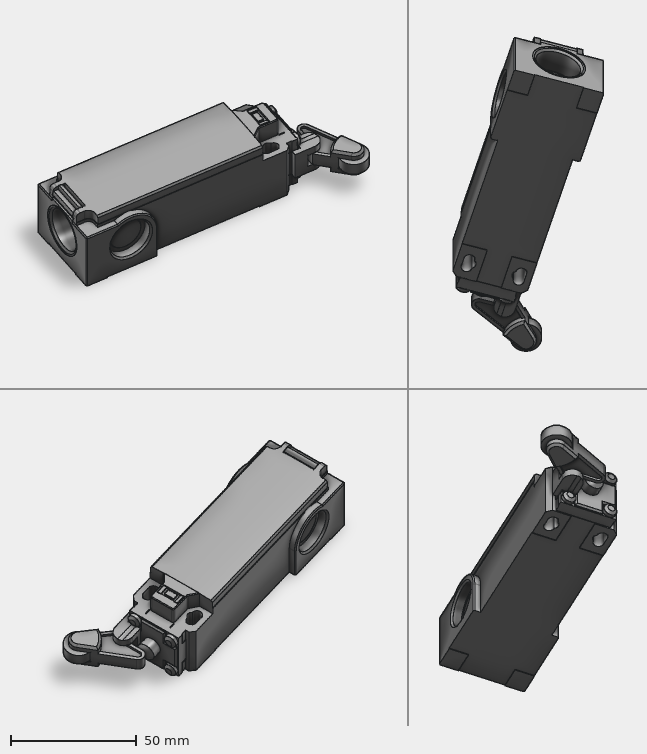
import cadquery as cq
import math


LENGTH = 128.5
HEIGHT = 32.8

BODY_W = 31.1
BODY_END = 97.6
BODY_TOP = 27.8
EAR_CHAMFER = 2.0
EAR_START = 84.4
EAR_TOP = 24.4
EAR_HOLE_X = 10.8
EAR_HOLE_Y = 90.5
EAR_SLOT_W = 4.4
EAR_SLOT_LENGTH = 8.0
EAR_BULGE_D = 4.1
EAR_BULGE_SHIFT = 1.2

FOOT_H = 0.4
LOWER_FOOT_LENGTH = 9.8
LOWER_FOOT_GAP = 20.3
UPPER_FOOT_START = 82.6
UPPER_FOOT_GAP = 10.3

BASE_W = 37.3
BASE_TOP = 26.3
BASE_CHAMFER = 0.5
ENTRY_Y = 20.8
ENTRY_Z = 15.4
ENTRY_BOSS_R = 12.5
ENTRY_D = 18.5
SIDE_ENTRY_DEPTH = 4.5
SIDE_MOUTH_D = 20.0
FRONT_ENTRY_DEPTH = 9.6
FRONT_MOUTH_D = 20.3
FRONT_SPOTFACE_D = 21.8
FRONT_SPOTFACE_DEPTH = 0.3
MOUTH_DEPTH = 0.9
SIDE_KNOCKOUT_D = 14.8
SIDE_KNOCKOUT_H = 0.3
FRONT_KNOCKOUT_D = 15.9
FRONT_KNOCKOUT_H = 0.8
TONGUE_W = 15.2
TONGUE_LENGTH = 6.2
TONGUE_TOP = 27.4

CLIP_FRONT = 0.9
CLIP_RIDGE_FRONT = 3.0
CLIP_CREST = 3.2
CLIP_BACK = 5.3
CLIP_RIDGE_EDGE = 31.6
CLIP_BEND_DROP = 0.3
CLIP_LIP_TOP = 30.6
CLIP_LIP_BOTTOM = 28.0
CLIP_LIP_BULGE = 0.8

LID_W = 30.6
LID_START = 0.5
LID_EDGE_TOP = 32.0
LID_CROWN_TOP = 32.5
LID_EDGE_CHAMFER = 0.8
LID_END_FILLET = 1.8
LID_STEP = (BODY_W - LID_W) / 2
LID_NOTCH_X = 10.3
LID_NOTCH_Y = 7.1
LID_NOTCH_R = 2.8
CAP_W = 11.8
CAP_START = 88.3
CAP_RAMP_END = 89.4
CAP_FLARE_W = 18.0
CAP_CORNER_R = 1.0
CAP_CHAMFER = 0.4
LABEL_W = 9.9
LABEL_START = 89.5
LABEL_END = 93.9
LABEL_DEPTH = 1.0
LABEL_PAD_W = 1.5
LABEL_PAD_H = 0.6
LABEL_BAR_W = 4.6
LABEL_BAR_LENGTH = 2.6

HEAD_W = 24.2
HEAD_H = 23.8
AXIS_Z = EAR_TOP - HEAD_H / 2
HEAD_END = 102.7
HEAD_TAB_W = 12.1
HEAD_TAB_END = 100.1
HEAD_RELIEF = 0.3
PLATE_INSET = 0.3
PLATE_CHAMFER = 0.8
PLATE_END = 104.0
SCREW_D = 5.7
SCREW_SPACING = 17.9
SCREW_X = SCREW_SPACING / 2
SCREW_DZ = 8.9
SCREW_RIM_END = 104.2
SCREW_TOP_END = 105.1
SCREW_TOP_D = 3.0
PLUNGER_D = 8.0
PLUNGER_RIM_END = 108.2
PLUNGER_END = 109.7

BRACKET_X0 = 5.8
BRACKET_X1 = 14.4
BRACKET_START = 100.0
BRACKET_PIVOT_Y = 109.3
BRACKET_H = 12.7
BRACKET_SLOT_START = 106.0
SCREW_CLEARANCE_D = 5.4

ROLLER_D = 12.5
ROLLER_W = 5.3
ROLLER_RIGHT = 29.0
ROLLER_X = ROLLER_RIGHT - ROLLER_D / 2
ROLLER_Y = LENGTH - ROLLER_D / 2
ROLLER_PIN_D = 3.0
ROLLER_CLEARANCE = 0.5
LEVER_HUB_R = 4.1
LEVER_TIP_R = 2.8
LEVER_TIP_X = 0.4
LEVER_TIP_GAP = 0.4
LEVER_TIP_Y = PLUNGER_END + LEVER_TIP_GAP + LEVER_TIP_R
LEVER_HEEL_Y = 108.0
LEVER_ARM_H = 5.9
LEVER_FORK_H = 12.2
LEVER_FORK_X = 25.6
LEVER_FORK_Y = 124.4
LEVER_FORK_R = 12.5
LEVER_FORK_CHAMFER = 1.0
LEVER_RIM = 1.4
LEVER_POCKET_DEPTH = 1.2


def box(x0, x1, y0, y1, z0, z1):
    return cq.Workplane("XY").box(x1 - x0, y1 - y0, z1 - z0, centered=False).translate((x0, y0, z0))


def centred_box(width, y0, y1, z0, z1):
    return box(-width / 2, width / 2, y0, y1, z0, z1)


def disc_z(x, y, radius, height):
    """Disc along Z, centred on the lever mid-plane."""
    disc = cq.Workplane("XY").center(x, y).circle(radius).extrude(height)
    return disc.translate((0, 0, AXIS_Z - height / 2))


def turned(x, z, profile):
    """Solid turned about a line along Y at (x, z); the profile lists (radius, y) points."""
    outline = cq.Workplane("XY").polyline(profile).close()
    return outline.revolve(360, (0, 0), (0, 1)).translate((x, 0, z))


def extrude_x(outline, width):
    """Extrude a YZ outline symmetrically about X = 0."""
    return outline.extrude(width / 2, both=True)



def make_body():
    body = centred_box(BODY_W, LID_START, BODY_END, 0, BODY_TOP)
    body = body.edges("|Z and >Y").chamfer(EAR_CHAMFER)
    return body.cut(centred_box(BODY_W, EAR_START, BODY_END, EAR_TOP, BODY_TOP))


def make_base():
    shoulder_y = ENTRY_Y - math.sqrt(ENTRY_BOSS_R**2 - (BASE_TOP - ENTRY_Z) ** 2)
    back_y = ENTRY_Y + ENTRY_BOSS_R
    outline = (
        cq.Workplane("YZ")
        .polyline([(back_y, ENTRY_Z), (back_y, 0), (0, 0), (0, BASE_TOP), (shoulder_y, BASE_TOP)])
        .threePointArc((ENTRY_Y, ENTRY_Z + ENTRY_BOSS_R), (back_y, ENTRY_Z))
        .close()
    )
    base = extrude_x(outline, BASE_W)
    sides = base.faces("<X or >X").edges("not <Z")
    base = sides.chamfer(BASE_CHAMFER)
    rim = base.faces("<Y").edges(">Z")
    return rim.chamfer(BASE_CHAMFER)


def make_lid():
    half_w = LID_W / 2
    section = (
        cq.Workplane("XZ")
        .moveTo(-half_w, BODY_TOP)
        .lineTo(-half_w, LID_EDGE_TOP - LID_EDGE_CHAMFER)
        .lineTo(-half_w + LID_EDGE_CHAMFER, LID_EDGE_TOP)
        .threePointArc((0, LID_CROWN_TOP), (half_w - LID_EDGE_CHAMFER, LID_EDGE_TOP))
        .lineTo(half_w, LID_EDGE_TOP - LID_EDGE_CHAMFER)
        .lineTo(half_w, BODY_TOP)
        .close()
    )
    lid = section.extrude(-(EAR_START - LID_START)).translate((0, LID_START, 0))
    return lid.faces("<Y").edges(">Z").fillet(LID_END_FILLET)


def make_cap():
    """Raised cap between the ears that flares out and ramps down to the lid."""
    outline = [
        (-CAP_FLARE_W / 2, EAR_START),
        (-CAP_W / 2, CAP_START),
        (-CAP_W / 2, BODY_END),
        (CAP_W / 2, BODY_END),
        (CAP_W / 2, CAP_START),
        (CAP_FLARE_W / 2, EAR_START),
    ]
    plan = cq.Workplane("XY").polyline(outline).close().extrude(HEIGHT)
    plan = plan.edges("|Z and (not <Y)").fillet(CAP_CORNER_R)
    profile = [
        (EAR_START, EAR_TOP),
        (EAR_START, LID_CROWN_TOP),
        (CAP_RAMP_END, HEIGHT),
        (BODY_END, HEIGHT),
        (BODY_END, EAR_TOP),
    ]
    cap = plan.intersect(extrude_x(cq.Workplane("YZ").polyline(profile).close(), CAP_FLARE_W))
    return cap.faces(">Z").edges("not <Y").chamfer(CAP_CHAMFER)


def label_pocket():
    floor = HEIGHT - LABEL_DEPTH
    pad_top = floor + LABEL_PAD_H
    pocket = centred_box(LABEL_W, LABEL_START, LABEL_END, floor, HEIGHT)
    for x0 in (-LABEL_W / 2, LABEL_W / 2 - LABEL_PAD_W):
        pocket = pocket.cut(box(x0, x0 + LABEL_PAD_W, LABEL_START, LABEL_END, floor, pad_top))
    bar_y = LABEL_START + LABEL_PAD_H
    return pocket.cut(centred_box(LABEL_BAR_W, bar_y, bar_y + LABEL_BAR_LENGTH, floor, pad_top))


def lid_corner_notches():
    """Round-cornered notches beside the latch, a little larger in the lid than in the body below it."""
    notches = cq.Workplane("XY")
    for step, floor in ((0, BASE_TOP), (LID_STEP, BODY_TOP)):
        for side in (-1, 1):
            x0, x1 = sorted((side * (LID_NOTCH_X - step), side * BASE_W / 2))
            inner_edge = "|Z and >Y and " + ("<X" if side > 0 else ">X")
            notch = box(x0, x1, 0, LID_NOTCH_Y + step, floor, HEIGHT)
            notches = notches.union(notch.edges(inner_edge).fillet(LID_NOTCH_R + step))
    return notches


def make_clip():
    """Latch bar: a ridge with a curved back, behind a flat shelf with a rounded lip."""
    lip_middle = (CLIP_FRONT - CLIP_LIP_BULGE, (CLIP_LIP_BOTTOM + CLIP_LIP_TOP) / 2)
    bend = ((CLIP_BACK + CLIP_CREST) / 2, HEIGHT - CLIP_BEND_DROP)
    outline = (
        cq.Workplane("YZ")
        .moveTo(CLIP_BACK, TONGUE_TOP)
        .lineTo(CLIP_BACK, CLIP_RIDGE_EDGE)
        .threePointArc(bend, (CLIP_CREST, HEIGHT))
        .lineTo(CLIP_RIDGE_FRONT, CLIP_RIDGE_EDGE)
        .lineTo(CLIP_RIDGE_FRONT, CLIP_LIP_TOP)
        .lineTo(CLIP_FRONT, CLIP_LIP_TOP)
        .threePointArc(lip_middle, (CLIP_FRONT, CLIP_LIP_BOTTOM))
        .lineTo(CLIP_FRONT, TONGUE_TOP)
        .close()
    )
    return extrude_x(outline, TONGUE_W)


def entry_bore(depth, mouth_d, knockout_d, knockout_h):
    """Flared blind bore along +Y from Y = 0 that leaves a raised knockout disc on its floor."""
    radius = ENTRY_D / 2
    floor = depth - knockout_h
    profile = [
        (0, 0),
        (mouth_d / 2, 0),
        (radius, MOUTH_DEPTH),
        (radius, depth),
        (knockout_d / 2, depth),
        (knockout_d / 2 - knockout_h, floor),
        (0, floor),
    ]
    return turned(0, ENTRY_Z, profile)


def cable_entries():
    entries = entry_bore(FRONT_ENTRY_DEPTH, FRONT_MOUTH_D, FRONT_KNOCKOUT_D, FRONT_KNOCKOUT_H)
    entries = entries.translate((0, FRONT_SPOTFACE_DEPTH, 0))
    spotface_r = FRONT_SPOTFACE_D / 2
    spotface = [(0, 0), (spotface_r, 0), (spotface_r, FRONT_SPOTFACE_DEPTH), (0, FRONT_SPOTFACE_DEPTH)]
    entries = entries.union(turned(0, ENTRY_Z, spotface))
    side_bore = entry_bore(SIDE_ENTRY_DEPTH, SIDE_MOUTH_D, SIDE_KNOCKOUT_D, SIDE_KNOCKOUT_H)
    side_bore = side_bore.translate((0, -BASE_W / 2, 0))
    for angle in (-90, 90):
        turned_bore = side_bore.rotate((0, 0, 0), (0, 0, 1), angle)
        entries = entries.union(turned_bore.translate((0, ENTRY_Y, 0)))
    return entries


def ear_holes():
    slots = cq.Workplane("XY")
    for side in (-1, 1):
        slot = cq.Workplane("XY").center(side * EAR_HOLE_X, EAR_HOLE_Y)
        slot = slot.slot2D(EAR_SLOT_LENGTH, EAR_SLOT_W, 90)
        bulge_x = side * (EAR_HOLE_X - EAR_BULGE_SHIFT)
        bulge = cq.Workplane("XY").center(bulge_x, EAR_HOLE_Y).circle(EAR_BULGE_D / 2)
        slots = slots.union(slot.extrude(HEIGHT)).union(bulge.extrude(HEIGHT))
    return slots


def foot_reliefs():
    relief = centred_box(BASE_W, LOWER_FOOT_LENGTH, UPPER_FOOT_START, 0, FOOT_H)
    relief = relief.union(centred_box(LOWER_FOOT_GAP, 0, LOWER_FOOT_LENGTH, 0, FOOT_H))
    return relief.union(centred_box(UPPER_FOOT_GAP, UPPER_FOOT_START, BODY_END, 0, FOOT_H))


def make_housing():
    housing = make_body().union(make_base()).union(make_lid()).union(make_cap())
    housing = housing.cut(lid_corner_notches())
    housing = housing.cut(centred_box(TONGUE_W, 0, TONGUE_LENGTH, TONGUE_TOP, HEIGHT))
    housing = housing.union(centred_box(TONGUE_W, 0, TONGUE_LENGTH, BASE_TOP - BASE_CHAMFER, TONGUE_TOP))
    housing = housing.union(make_clip())
    for cutter in (label_pocket(), cable_entries(), ear_holes(), foot_reliefs()):
        housing = housing.cut(cutter)
    return housing



def make_head():
    z0 = AXIS_Z - HEAD_H / 2
    z1 = AXIS_Z + HEAD_H / 2
    head = centred_box(HEAD_W, BODY_END, HEAD_END, z0, z1)
    tab = HEAD_TAB_W / 2
    flank = HEAD_W / 2 - HEAD_RELIEF
    for side in (-1, 1):
        x0, x1 = sorted((side * flank, side * HEAD_W / 2))
        head = head.cut(box(x0, x1, BODY_END, HEAD_TAB_END, z0, AXIS_Z - tab))
        head = head.cut(box(x0, x1, BODY_END, HEAD_TAB_END, AXIS_Z + tab, z1))
        slit = centred_box(HEAD_RELIEF, BODY_END, HEAD_TAB_END, z1 - HEAD_RELIEF, z1)
        head = head.cut(slit.translate((side * tab, 0, 0)))

    plate_w = HEAD_W - 2 * PLATE_INSET
    plate = centred_box(plate_w, HEAD_END, PLATE_END, AXIS_Z - tab, AXIS_Z + tab)
    plate = plate.union(centred_box(HEAD_TAB_W, HEAD_END, PLATE_END, z0 + PLATE_INSET, z1 - PLATE_INSET))
    return head.union(plate.faces(">Y").edges().chamfer(PLATE_CHAMFER))


def make_plunger():
    radius = PLUNGER_D / 2
    rise = PLUNGER_END - PLUNGER_RIM_END
    dome_r = (radius**2 + rise**2) / (2 * rise)
    half = math.asin(radius / dome_r) / 2
    middle = (dome_r * math.sin(half), PLUNGER_END - dome_r * (1 - math.cos(half)))
    outline = (
        cq.Workplane("XY")
        .moveTo(0, HEAD_END)
        .lineTo(radius, HEAD_END)
        .lineTo(radius, PLUNGER_RIM_END)
        .threePointArc(middle, (0, PLUNGER_END))
        .close()
    )
    return outline.revolve(360, (0, 0), (0, 1)).translate((0, 0, AXIS_Z))


def make_screws():
    """Screw heads with a bevelled top."""
    head_r = SCREW_D / 2
    top_r = SCREW_TOP_D / 2
    profile = [
        (0, HEAD_END),
        (head_r, HEAD_END),
        (head_r, SCREW_RIM_END),
        (top_r, SCREW_TOP_END),
        (0, SCREW_TOP_END),
    ]
    screws = cq.Workplane("XY")
    for x in (-SCREW_X, SCREW_X):
        for z in (AXIS_Z - SCREW_DZ, AXIS_Z + SCREW_DZ):
            screws = screws.union(turned(x, z, profile))
    return screws



def make_bracket():
    """Forked post beside the plunger with a rounded top, hooked over the side of the head."""
    z0 = AXIS_Z - BRACKET_H / 2
    z1 = AXIS_Z + BRACKET_H / 2
    pivot_r = (BRACKET_X1 - BRACKET_X0) / 2
    pivot_x = BRACKET_X0 + pivot_r
    bracket = box(BRACKET_X0, BRACKET_X1, PLATE_END, BRACKET_PIVOT_Y, z0, z1)
    bracket = bracket.union(box(HEAD_W / 2, BRACKET_X1, BRACKET_START, PLATE_END, z0, z1))
    bracket = bracket.union(disc_z(pivot_x, BRACKET_PIVOT_Y, pivot_r, BRACKET_H))
    radius = SCREW_CLEARANCE_D / 2
    clearance = [(0, PLATE_END), (radius, PLATE_END), (radius, LENGTH), (0, LENGTH)]
    for z in (AXIS_Z - SCREW_DZ, AXIS_Z + SCREW_DZ):
        bracket = bracket.cut(turned(SCREW_X, z, clearance))
    half_slot = LEVER_ARM_H / 2
    slot = box(BRACKET_X0, BRACKET_X1, BRACKET_SLOT_START, LENGTH, AXIS_Z - half_slot, AXIS_Z + half_slot)
    return bracket.cut(slot)


def lever_outline(inset=0.0):
    """Lever outline around tip and roller hub; the inset moves every side inward."""
    hub_r = LEVER_HUB_R - inset
    tip_r = LEVER_TIP_R - inset
    dx = ROLLER_X - LEVER_TIP_X
    dy = ROLLER_Y - LEVER_TIP_Y
    top_angle = math.atan2(dy, dx) + math.asin((hub_r - tip_r) / math.hypot(dx, dy)) + math.pi / 2
    heel_y = LEVER_HEEL_Y + inset
    low_side_angle = -math.pi / 4
    down = 1.5 * math.pi

    def on_hub(angle):
        return (ROLLER_X + hub_r * math.cos(angle), ROLLER_Y + hub_r * math.sin(angle))

    def on_tip(angle):
        return (LEVER_TIP_X + tip_r * math.cos(angle), LEVER_TIP_Y + tip_r * math.sin(angle))

    hub_low = on_hub(low_side_angle)
    heel_x = hub_low[0] - (hub_low[1] - heel_y)
    tip_bottom = on_tip(down)
    return (
        cq.Workplane("XY")
        .moveTo(*on_tip(top_angle))
        .lineTo(*on_hub(top_angle))
        .threePointArc(on_hub((top_angle + low_side_angle) / 2), hub_low)
        .lineTo(heel_x, heel_y)
        .lineTo(BRACKET_X0 + LEVER_TIP_R, heel_y)
        .lineTo(BRACKET_X0 + LEVER_TIP_R, tip_bottom[1])
        .lineTo(*tip_bottom)
        .threePointArc(on_tip((top_angle + down) / 2), on_tip(top_angle))
        .close()
    )


def make_lever():
    arm = lever_outline().extrude(LEVER_ARM_H).translate((0, 0, AXIS_Z - LEVER_ARM_H / 2))
    pocket = lever_outline(LEVER_RIM).extrude(LEVER_POCKET_DEPTH)
    for z in (AXIS_Z - LEVER_ARM_H / 2, AXIS_Z + LEVER_ARM_H / 2 - LEVER_POCKET_DEPTH):
        arm = arm.cut(pocket.translate((0, 0, z)))

    fork = lever_outline().extrude(LEVER_FORK_H).translate((0, 0, AXIS_Z - LEVER_FORK_H / 2))
    fork = fork.intersect(disc_z(LEVER_FORK_X, LEVER_FORK_Y, LEVER_FORK_R, LEVER_FORK_H))
    fork = fork.faces("<Z or >Z").edges().chamfer(LEVER_FORK_CHAMFER)

    lever = arm.union(fork)
    lever = lever.cut(disc_z(ROLLER_X, ROLLER_Y, ROLLER_D / 2 + ROLLER_CLEARANCE, LEVER_ARM_H))
    lever = lever.union(disc_z(ROLLER_X, ROLLER_Y, ROLLER_PIN_D / 2, LEVER_ARM_H))
    return lever.union(disc_z(ROLLER_X, ROLLER_Y, ROLLER_D / 2, ROLLER_W))


result = make_housing().union(make_head()).union(make_plunger()).union(make_screws())
result = result.union(make_bracket()).union(make_lever())